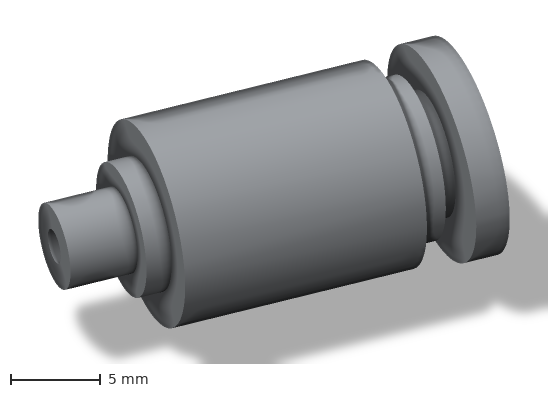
import cadquery as cq


tip_diameter = 5.0
tip_length = 4.0
shoulder_diameter = 7.8
shoulder_length = 1.5
body_diameter = 12.0
body_length = 14.45
collar_diameter = 9.55
collar_length = 1.6
neck_diameter = 7.35
neck_length = 1.0

button_width = 13.8
button_height = 11.8
button_thickness = 2.0

bore_diameter = 2.0

sections = [
    (tip_diameter, tip_length),
    (shoulder_diameter, shoulder_length),
    (body_diameter, body_length),
    (collar_diameter, collar_length),
    (neck_diameter, neck_length),
]
stem_length = sum(length for _, length in sections)
total_length = stem_length + button_thickness


def plane_at(y):
    """Workplane normal to the axis, with extrusions running toward +Y."""
    return cq.Workplane("XZ", origin=(0, y, 0)).transformed(rotate=(180, 0, 0))


def make_cylinder(diameter, start, length):
    """Cylinder on the axis, running from start toward +Y."""
    return plane_at(start).circle(diameter / 2).extrude(length)


def make_stem():
    """Stack of round sections from the tip to the neck."""
    stem = cq.Workplane("XZ")
    start = 0.0
    for diameter, length in sections:
        stem = stem.union(make_cylinder(diameter, start, length))
        start += length
    return stem


def make_button():
    """Elliptical plate behind the neck."""
    outline = plane_at(stem_length).ellipse(button_width / 2, button_height / 2)
    return outline.extrude(button_thickness)


bore = make_cylinder(bore_diameter, 0, total_length)

result = make_stem().union(make_button()).cut(bore)